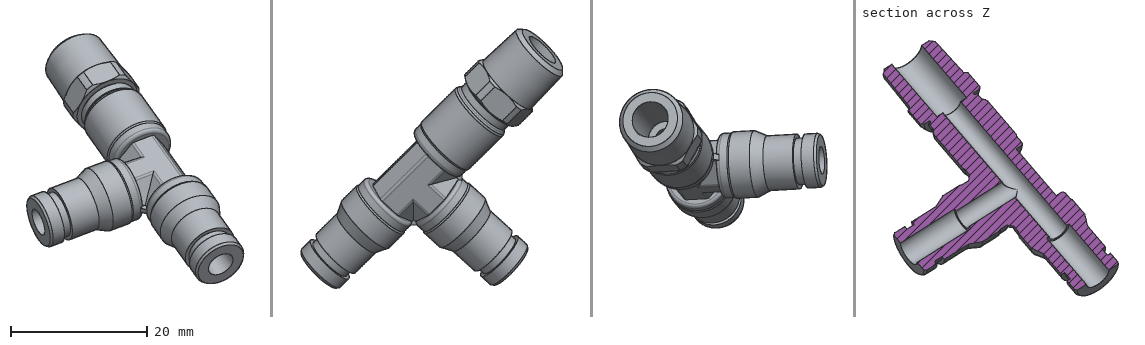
import cadquery as cq
import math


STEM_END = -27.5
ARM_END = 19.87

THROUGH_RADIUS = 1.6
STEM_BORE_RADIUS = 2.7
SOCKET_RADIUS = 2.03

GAUGE_PLANE = STEM_END + 4.0
GAUGE_RADIUS = 4.864
TAPER_SLOPE = 1 / 32
STEM_FACE_RADIUS = 4.1
STEM_CHAMFER = 0.65

HEX_START = -20.05
HEX_END = -16.35
HEX_ACROSS_FLATS = 10.0
HEX_CORNER_RADIUS = 5.47
HEX_CHAMFER_LENGTH = 0.35
HEX_FACE_RADIUS = 4.98

RELIEF_RADIUS = 4.02
NECK_START = -16.08
NECK_RADIUS = 4.42
FLARE_START = -14.95
FLARE_END = -14.68
FLARE_RADIUS = 4.6
SLEEVE_LIP = -14.42
SLEEVE_LIP_RADIUS = 4.8
SLEEVE_START = -14.07

SLEEVE_RADIUS = 4.92
COLLAR_RADIUS = 4.77
COLLAR_FACE = 4.92
COLLAR_FILLET = 0.55
COLLAR_END = 6.63
SLEEVE_EDGE = 6.9

SHOULDER_START = 10.04
SHOULDER_END = 11.91
TUBE_RADIUS = 4.05
GROOVE_START = 16.35
GROOVE_END = 17.63
GROOVE_RADIUS = 3.45
RING_RADIUS = 4.0
RING_CHAMFER_LENGTH = 0.37
RING_CHAMFER_HEIGHT = 0.25

BODY_HALF_HEIGHT = 3.5
BODY_TOP_HALF_WIDTH = 1.75
BODY_BACK = 3.42
BODY_FRONT = 4.55
BODY_EDGE_FILLET = 0.52
WEB_HALF_THICKNESS = 0.45


def thread_radius(x):
    return GAUGE_RADIUS + TAPER_SLOPE * (x - GAUGE_PLANE)


def revolve_about_x(outline):
    return outline.close().revolve(360, (0, 0, 0), (1, 0, 0))


def cylinder_x(start, end, radius):
    return cq.Workplane("YZ", origin=(start, 0, 0)).circle(radius).extrude(end - start)


def to_branch(arm):
    """Turn an arm lying along +X so that it lies along -Y."""
    return arm.rotate((0, 0, 0), (0, 0, 1), -90)


def fillet_start(sign):
    return sign * COLLAR_FACE, COLLAR_RADIUS - COLLAR_FILLET


def fillet_middle(sign):
    inset = COLLAR_FILLET * (1 - math.sqrt(0.5))
    return sign * (COLLAR_FACE + inset), COLLAR_RADIUS - inset


def fillet_end(sign):
    return sign * (COLLAR_FACE + COLLAR_FILLET), COLLAR_RADIUS


def make_arm():
    outline = (
        cq.Workplane("XY")
        .moveTo(COLLAR_FACE, 0)
        .lineTo(*fillet_start(1))
        .threePointArc(fillet_middle(1), fillet_end(1))
        .lineTo(COLLAR_END, COLLAR_RADIUS)
        .lineTo(SLEEVE_EDGE, SLEEVE_RADIUS)
        .lineTo(SHOULDER_START, SLEEVE_RADIUS)
        .lineTo(SHOULDER_END, TUBE_RADIUS)
        .lineTo(GROOVE_START, TUBE_RADIUS)
        .lineTo(GROOVE_START, GROOVE_RADIUS)
        .lineTo(GROOVE_END, GROOVE_RADIUS)
        .lineTo(GROOVE_END, RING_RADIUS)
        .lineTo(ARM_END - RING_CHAMFER_LENGTH, RING_RADIUS)
        .lineTo(ARM_END, RING_RADIUS - RING_CHAMFER_HEIGHT)
        .lineTo(ARM_END, 0)
    )
    return revolve_about_x(outline)


def make_stem():
    thread_start = STEM_END + STEM_CHAMFER
    outline = (
        cq.Workplane("XY")
        .moveTo(STEM_END, 0)
        .lineTo(STEM_END, STEM_FACE_RADIUS)
        .lineTo(thread_start, thread_radius(thread_start))
        .lineTo(HEX_START, thread_radius(HEX_START))
        .lineTo(HEX_START, RELIEF_RADIUS)
        .lineTo(NECK_START, RELIEF_RADIUS)
        .lineTo(NECK_START, NECK_RADIUS)
        .lineTo(FLARE_START, NECK_RADIUS)
        .lineTo(FLARE_END, FLARE_RADIUS)
        .lineTo(SLEEVE_LIP, SLEEVE_LIP_RADIUS)
        .lineTo(SLEEVE_START, SLEEVE_RADIUS)
        .lineTo(-SLEEVE_EDGE, SLEEVE_RADIUS)
        .lineTo(-COLLAR_END, COLLAR_RADIUS)
        .lineTo(*fillet_end(-1))
        .threePointArc(fillet_middle(-1), fillet_start(-1))
        .lineTo(-COLLAR_FACE, 0)
    )
    return revolve_about_x(outline)


def make_hexagon():
    """Hexagon with flats facing +Z and -Z, its corners turned down and chamfered at both ends."""
    across_corners = HEX_ACROSS_FLATS / math.cos(math.pi / 6)
    prism = (
        cq.Workplane("YZ", origin=(HEX_START, 0, 0))
        .polygon(6, across_corners)
        .extrude(HEX_END - HEX_START)
    )
    turned_outline = (
        cq.Workplane("XY")
        .moveTo(HEX_START, 0)
        .lineTo(HEX_START, HEX_FACE_RADIUS)
        .lineTo(HEX_START + HEX_CHAMFER_LENGTH, HEX_CORNER_RADIUS)
        .lineTo(HEX_END - HEX_CHAMFER_LENGTH, HEX_CORNER_RADIUS)
        .lineTo(HEX_END, HEX_FACE_RADIUS)
        .lineTo(HEX_END, 0)
    )
    return prism.intersect(revolve_about_x(turned_outline))


def make_rib(start, end, right_reach, left_reach):
    """Bar along X with a flat top and bottom whose sides slope out to the web."""
    section = [
        (BODY_TOP_HALF_WIDTH, BODY_HALF_HEIGHT),
        (right_reach, WEB_HALF_THICKNESS),
        (right_reach, -WEB_HALF_THICKNESS),
        (BODY_TOP_HALF_WIDTH, -BODY_HALF_HEIGHT),
        (-BODY_TOP_HALF_WIDTH, -BODY_HALF_HEIGHT),
        (-left_reach, -WEB_HALF_THICKNESS),
        (-left_reach, WEB_HALF_THICKNESS),
        (-BODY_TOP_HALF_WIDTH, BODY_HALF_HEIGHT),
    ]
    bar = cq.Workplane("YZ", origin=(start, 0, 0)).polyline(section).close().extrude(end - start)
    return bar.faces(">Z or <Z").edges("|X").fillet(BODY_EDGE_FILLET)


def make_web():
    """Flat plate at mid height that closes the corners between neighbouring collars."""
    fillet_reach = COLLAR_FACE + COLLAR_FILLET
    outline = [
        (-COLLAR_FACE, BODY_BACK),
        (COLLAR_FACE, BODY_BACK),
        (COLLAR_FACE, 0),
        (fillet_reach, 0),
        (fillet_reach, -COLLAR_RADIUS),
        (COLLAR_RADIUS, -fillet_reach),
        (-COLLAR_RADIUS, -fillet_reach),
        (-fillet_reach, -COLLAR_RADIUS),
        (-fillet_reach, 0),
        (-COLLAR_FACE, 0),
    ]
    return cq.Workplane("XY").polyline(outline).close().extrude(WEB_HALF_THICKNESS, both=True)


def make_body():
    run = make_rib(-COLLAR_FACE, COLLAR_FACE, BODY_BACK, BODY_FRONT)
    branch = to_branch(make_rib(0, COLLAR_FACE, BODY_FRONT, BODY_FRONT))
    return run.union(branch).union(make_web())


def make_bores():
    arm_bore = cylinder_x(0, ARM_END, THROUGH_RADIUS)
    arm_bore = arm_bore.union(cylinder_x(SHOULDER_START, ARM_END, SOCKET_RADIUS))
    stem_bore = cylinder_x(STEM_END, 0, THROUGH_RADIUS)
    stem_bore = stem_bore.union(cylinder_x(STEM_END, HEX_END, STEM_BORE_RADIUS))
    return stem_bore.union(arm_bore).union(to_branch(arm_bore))


solid = make_body().union(make_stem()).union(make_hexagon())
solid = solid.union(make_arm()).union(to_branch(make_arm()))
result = solid.cut(make_bores())